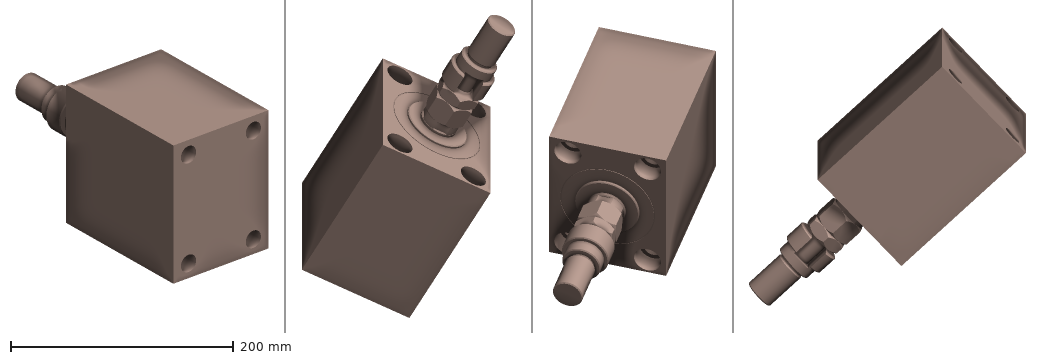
import cadquery as cq
import math


HOUSING_LENGTH = 153.5
HOUSING_WIDTH = 110.0
HOUSING_HEIGHT = 140.0
GLAND_DIAMETER = 60.0
GLAND_PROJECTION = 2.5
GLAND_CHAMFER = 0.8
RING_OUTER_DIAMETER = 89.0
RING_GROOVE_WIDTH = 1.0
RING_GROOVE_DEPTH = 0.5

BOLT_SPACING_Y = 75.0
BOLT_SPACING_Z = 110.0
BOLT_HOLE_DIAMETER = 17.5
COUNTERBORE_DIAMETER = 25.5
COUNTERBORE_DEPTH = 17.0

ROD_DIAMETER = 36.0
ROD_SHOULDER_X = -5.0
ROD_SHOULDER_CHAMFER = 1.0
ROD_INSERTION = 50.0
NECK_DIAMETER = 35.6
NECK_ACROSS_FLATS = 32.6
ROD_END_X = -13.5

HEX_ACROSS_FLATS = 36.0
HEX_FACE_DIAMETER = 35.8
NUT_LENGTH = 22.2
STUD_HEX_LENGTH = 11.8
NUT_FRONT_X = ROD_END_X - NUT_LENGTH
STUD_HEX_FRONT_X = NUT_FRONT_X - STUD_HEX_LENGTH

THREAD_DIAMETER = 24.0
THREAD_DEPTH_IN_ROD = 30.0
STUD_SHANK_DIAMETER = 17.6
STUD_COLLAR_DIAMETER = 21.0
STUD_TAPER_LENGTH = 1.7

PIN_DIAMETER = 28.0
OVERALL_LENGTH = 277.5
PIN_TIP_X = HOUSING_LENGTH - OVERALL_LENGTH
PIN_CHAMFER = 1.0
RELIEF_DIAMETER = 25.0
RELIEF_WIDTH = 2.0
BOSS_DIAMETER = 36.0
BOSS_CHAMFER = 1.0
BOSS_LENGTH = 12.0
HEAD_DIAMETER = 44.0
HEAD_CHAMFER = 1.0
HEAD_LENGTH = 20.0
HEAD_BACK_X = -50.0
HEAD_FRONT_X = HEAD_BACK_X - HEAD_LENGTH
BOSS_FRONT_X = HEAD_FRONT_X - BOSS_LENGTH
RELIEF_FRONT_X = BOSS_FRONT_X - RELIEF_WIDTH
SLOT_WIDTH = 19.0
SLOT_LENGTH_IN_BOSS = 2.5
SLOT_FRONT_X = HEAD_FRONT_X - SLOT_LENGTH_IN_BOSS


def cylinder(diameter, x_start, x_end):
    """Cylinder on the X axis between two X positions."""
    return cq.Workplane("YZ").workplane(offset=x_start).circle(diameter / 2).extrude(x_end - x_start)


def turned(profile):
    """Solid of revolution about the X axis from its outer (x, radius) points."""
    x_first = profile[0][0]
    x_last = profile[-1][0]
    outline = [(x_first, 0)] + profile + [(x_last, 0)]
    return cq.Workplane("XY").polyline(outline).close().revolve(360, (0, 0, 0), (1, 0, 0))


def chamfered_hexagon(x_start, length):
    """Hexagon with corners on +Z and -Z, both ends turned to a 45 degree chamfer."""
    corner_diameter = HEX_ACROSS_FLATS / math.cos(math.radians(30))
    chamfer = (corner_diameter - HEX_FACE_DIAMETER) / 2
    prism = (
        cq.Workplane("YZ")
        .workplane(offset=x_start)
        .polygon(6, corner_diameter)
        .extrude(length)
        .rotate((0, 0, 0), (1, 0, 0), 90)
    )
    x_end = x_start + length
    envelope = turned([
        (x_start, HEX_FACE_DIAMETER / 2),
        (x_start + chamfer, corner_diameter / 2),
        (x_end - chamfer, corner_diameter / 2),
        (x_end, HEX_FACE_DIAMETER / 2),
    ])
    return prism.intersect(envelope)


def make_housing():
    """Block with raised gland face, ring groove, bolt holes and rod bore."""
    block = cq.Workplane("XY").box(
        HOUSING_LENGTH, HOUSING_WIDTH, HOUSING_HEIGHT, centered=(False, True, True)
    )
    gland = cylinder(GLAND_DIAMETER, -GLAND_PROJECTION, 0).faces("<X").chamfer(GLAND_CHAMFER)
    ring_inner_diameter = RING_OUTER_DIAMETER - 2 * RING_GROOVE_WIDTH
    ring_groove = cylinder(RING_OUTER_DIAMETER, 0, RING_GROOVE_DEPTH).cut(
        cylinder(ring_inner_diameter, 0, RING_GROOVE_DEPTH)
    )
    body = block.cut(ring_groove).union(gland)

    bolt_hole = cylinder(BOLT_HOLE_DIAMETER, 0, HOUSING_LENGTH).union(
        cylinder(COUNTERBORE_DIAMETER, 0, COUNTERBORE_DEPTH)
    )
    for side_y in (-1, 1):
        for side_z in (-1, 1):
            position = (0, side_y * BOLT_SPACING_Y / 2, side_z * BOLT_SPACING_Z / 2)
            body = body.cut(bolt_hole.translate(position))

    rod_bore = cylinder(ROD_DIAMETER, -GLAND_PROJECTION, ROD_INSERTION)
    return body.cut(rod_bore)


def make_rod():
    """Rod with a square-flatted wrench neck and a threaded hole in its end."""
    shaft = turned([
        (ROD_SHOULDER_X - ROD_SHOULDER_CHAMFER, ROD_DIAMETER / 2 - ROD_SHOULDER_CHAMFER),
        (ROD_SHOULDER_X, ROD_DIAMETER / 2),
        (ROD_INSERTION, ROD_DIAMETER / 2),
    ])
    flats = (
        cq.Workplane("YZ")
        .workplane(offset=ROD_END_X)
        .rect(NECK_ACROSS_FLATS, NECK_ACROSS_FLATS)
        .extrude(ROD_SHOULDER_X - ROD_END_X)
    )
    neck = cylinder(NECK_DIAMETER, ROD_END_X, ROD_SHOULDER_X).intersect(flats)
    stud_hole = cylinder(THREAD_DIAMETER, ROD_END_X, ROD_END_X + THREAD_DEPTH_IN_ROD)
    return shaft.union(neck).cut(stud_hole)


def make_lock_nut():
    """Long hexagon nut on the stud thread, tight against the rod end."""
    thread_hole = cylinder(THREAD_DIAMETER, NUT_FRONT_X, ROD_END_X)
    return chamfered_hexagon(NUT_FRONT_X, NUT_LENGTH).cut(thread_hole)


def make_stud():
    """Stud with a shank for the coupling slot, a wrench hexagon and a thread for the rod."""
    shank = turned([
        (SLOT_FRONT_X, STUD_SHANK_DIAMETER / 2),
        (STUD_HEX_FRONT_X - STUD_TAPER_LENGTH, STUD_SHANK_DIAMETER / 2),
        (STUD_HEX_FRONT_X, STUD_COLLAR_DIAMETER / 2),
    ])
    thread = cylinder(THREAD_DIAMETER, NUT_FRONT_X, ROD_END_X + THREAD_DEPTH_IN_ROD)
    return chamfered_hexagon(STUD_HEX_FRONT_X, STUD_HEX_LENGTH).union(shank).union(thread)


def make_coupling():
    """Coupling pin, boss and head, with a round-ended slot open to -Z for the stud."""
    relief_step = (PIN_DIAMETER - RELIEF_DIAMETER) / 2
    body = turned([
        (PIN_TIP_X, PIN_DIAMETER / 2 - PIN_CHAMFER),
        (PIN_TIP_X + PIN_CHAMFER, PIN_DIAMETER / 2),
        (RELIEF_FRONT_X - relief_step, PIN_DIAMETER / 2),
        (RELIEF_FRONT_X, RELIEF_DIAMETER / 2),
        (BOSS_FRONT_X, RELIEF_DIAMETER / 2),
        (BOSS_FRONT_X, BOSS_DIAMETER / 2 - BOSS_CHAMFER),
        (BOSS_FRONT_X + BOSS_CHAMFER, BOSS_DIAMETER / 2),
        (HEAD_FRONT_X, BOSS_DIAMETER / 2),
        (HEAD_FRONT_X, HEAD_DIAMETER / 2 - HEAD_CHAMFER),
        (HEAD_FRONT_X + HEAD_CHAMFER, HEAD_DIAMETER / 2),
        (HEAD_BACK_X - HEAD_CHAMFER, HEAD_DIAMETER / 2),
        (HEAD_BACK_X, HEAD_DIAMETER / 2 - HEAD_CHAMFER),
    ])
    slot_mouth = cq.Workplane("XY").box(
        HEAD_BACK_X - SLOT_FRONT_X, SLOT_WIDTH, HEAD_DIAMETER / 2, centered=(False, True, False)
    ).translate((SLOT_FRONT_X, 0, -HEAD_DIAMETER / 2))
    slot = cylinder(SLOT_WIDTH, SLOT_FRONT_X, HEAD_BACK_X).union(slot_mouth)
    return body.cut(slot)


housing = make_housing()
rod = make_rod()
lock_nut = make_lock_nut()
stud = make_stud()
coupling = make_coupling()

result = cq.Compound.makeCompound([
    housing.val(),
    rod.val(),
    lock_nut.val(),
    stud.val(),
    coupling.val(),
])